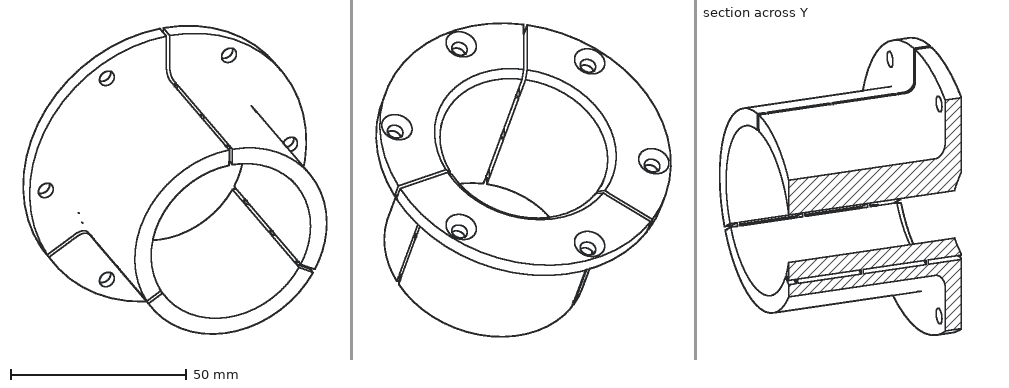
import cadquery as cq

flange_diameter = 85.0
length = 53.0
flange_thickness = 5.0
barrel_diameter = 59.0
bore_diameter = 49.0
bore_chamfer = 2.0
root_fillet = 3.0

screw_count = 6
screw_circle_diameter = 75.0
screw_hole_diameter = 4.5
countersink_diameter = 8.8
countersink_angle = 90

split_count = 3
split_width = 1.0
tab_width = 0.8
tab_pitch = 20.0
first_tab_center = 10.5
tab_count = 3


def make_body():
    flange = cq.Workplane("YZ").circle(flange_diameter / 2).extrude(flange_thickness)
    barrel = cq.Workplane("YZ").circle(barrel_diameter / 2).extrude(length)
    body = flange.union(barrel)
    flange_back = body.faces(cq.selectors.NearestToPointSelector((flange_thickness, 0, 0)))
    body = flange_back.edges(cq.selectors.RadiusNthSelector(0)).fillet(root_fillet)
    bore = cq.Workplane("YZ").circle(bore_diameter / 2).extrude(length)
    return body.cut(bore).faces("<X").edges(cq.selectors.RadiusNthSelector(0)).chamfer(bore_chamfer)


def drill_screw_holes(body):
    return (
        body.faces("<X")
        .workplane(origin=(0, 0, 0))
        .polarArray(screw_circle_diameter / 2, 0, 360, screw_count)
        .cskHole(screw_hole_diameter, countersink_diameter, countersink_angle)
    )


def make_split():
    """Radial cutter along +Z, interrupted where the tabs bridge the split."""
    tab_centers = [first_tab_center + i * tab_pitch for i in range(tab_count)]
    starts = [0] + [center + tab_width / 2 for center in tab_centers]
    ends = [center - tab_width / 2 for center in tab_centers] + [length]
    split = cq.Workplane()
    for start, end in zip(starts, ends):
        slot = cq.Workplane().box(
            end - start, split_width, flange_diameter, centered=(False, True, False)
        )
        split = split.add(slot.translate((start, 0, 0)))
    return split.combine()


result = drill_screw_holes(make_body())
split_cutter = make_split()
for index in range(split_count):
    angle = index * 360 / split_count
    result = result.cut(split_cutter.rotate((0, 0, 0), (1, 0, 0), angle))